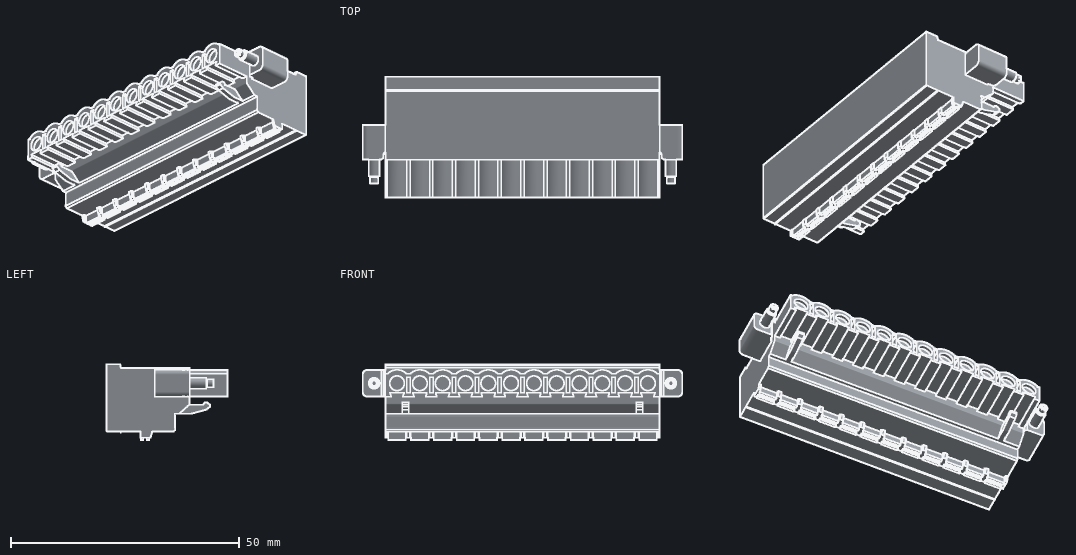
import cadquery as cq
import math


poles = 12
body_width = 60.15
end_margin = 0.1
pitch = (body_width - 2 * end_margin) / poles
pole_places = [(i - (poles - 1) / 2) * pitch for i in range(poles)]
joint_places = [(i - poles / 2) * pitch for i in range(poles + 1)]

ledge_top = 14.8
housing_top = 13.95
housing_depth = 18.2
ledge_depth = 2.95
lip_depth = 3.15
lip_height = 0.2
undercut_depth = 3.0
undercut_height = 0.3
step_depth = 3.2
lower_depth = 15.15
lower_setback = 0.15
slope_top = 5.95
slope_bottom = 3.85
slope_bottom_depth = 15.9
nose_radius = 0.35
lower_face_top = 3.2
base_chamfer = 0.4
sill_top = 0.9
back_chamfer = 0.15

total_depth = 26.6
socket_length = total_depth - housing_depth
socket_axis_height = 10.6
socket_radius = 2.95
valley_height = 12.6
socket_floor = 8.5
hole_diameter = 3.2
hole_depth = 1.0
slot_width = 0.8
slot_top = 11.9

tab_bottom = 7.65
tab_root_width = 1.9
tab_width = 2.45

total_width = 70.1
wing_top = socket_axis_height + socket_radius
wing_bottom = tab_bottom
wing_back = 10.6
wing_fillet = 1.05
relief_width = 0.4
relief_depth = 1.55
relief_taper = 0.4
relief_root_width = 0.2

screw_inset = 2.5
screw_diameter = 2.4
screw_length = 3.65
neck_diameter = 1.55
neck_length = 0.2
tip_diameter = 1.8
tip_length = 1.5
tip_chamfer = 0.15
hex_across = 1.1
recess_depth = 0.55

hook_inset = 4.4
hook_width = 1.4
hook_top = 5.9
hook_neck_depth = 21.2
hook_knob_back = 21.5
hook_knob_front = 22.1
hook_knob_height = 6.4
hook_tip_depth = 22.7
hook_tip_top = 5.9
hook_tip_bottom = 5.4
hook_chin_depth = 21.9
hook_chin_height = 4.8
hook_heel_depth = 18.5

foot_width = 3.9
foot_height = 1.9
foot_back = 7.6
foot_front = 9.4
groove_back = 8.1
groove_front = 8.8
fin_width = pitch - foot_width
fin_back = 7.4
fin_front = 10.1
fin_height = 1.4
fin_taper = 0.4
fin_chamfer = 0.2
ridge_depth = 3.15
ridge_size = 0.2


def side_polygon(points, width, center_x=0.0):
    """Prism along X from (depth, height) points, centred on center_x."""
    outline = cq.Workplane("YZ").polyline([(-depth, height) for depth, height in points]).close()
    return outline.extrude(width / 2, both=True).translate((center_x, 0, 0))


def cylinder_forward(x, depth, diameter, length):
    """Cylinder along -Y on the socket axis height, starting at the given depth."""
    plane = cq.Workplane("XZ", origin=(x, -depth, socket_axis_height))
    return plane.circle(diameter / 2).extrude(length)


def make_end_trim():
    """Block as wide as the housing, for trimming what would stick out of its ends."""
    return cq.Workplane("XY").box(body_width, 2 * total_depth, 2 * ledge_top)


def make_housing():
    points = [
        (back_chamfer, 0),
        (0, back_chamfer),
        (0, ledge_top),
        (ledge_depth, ledge_top),
        (lip_depth, ledge_top - lip_height),
        (undercut_depth, ledge_top - undercut_height),
        (step_depth, housing_top),
        (housing_depth, housing_top),
        (housing_depth, slope_top),
        (slope_bottom_depth, slope_bottom),
        (lower_depth - lower_setback, slope_bottom),
        (lower_depth - lower_setback / 2, lower_face_top),
        (lower_depth - lower_setback / 2, sill_top),
        (lower_depth, base_chamfer),
        (lower_depth - base_chamfer, 0),
    ]
    housing = side_polygon(points, body_width)
    nose = cq.selectors.NearestToPointSelector((0, -housing_depth, slope_top))
    return housing.edges(nose).fillet(nose_radius)


def make_sockets():
    valley_rise = valley_height - socket_axis_height
    crown_half_width = math.sqrt(socket_radius**2 - valley_rise**2)
    outline = (
        cq.Workplane("XZ", origin=(0, -housing_depth, 0))
        .moveTo(-body_width / 2, socket_floor)
        .lineTo(-body_width / 2, valley_height)
    )
    for x in pole_places:
        outline = outline.lineTo(x - crown_half_width, valley_height).threePointArc(
            (x, socket_axis_height + socket_radius), (x + crown_half_width, valley_height)
        )
    outline = outline.lineTo(body_width / 2, valley_height).lineTo(body_width / 2, socket_floor).close()
    sockets = outline.extrude(socket_length)
    for x in pole_places:
        sockets = sockets.cut(cylinder_forward(x, total_depth - hole_depth, hole_diameter, hole_depth))
    for x in joint_places[1:-1]:
        slot = cq.Workplane("XZ", origin=(x, -housing_depth, (slot_top + socket_floor) / 2))
        sockets = sockets.cut(slot.rect(slot_width, slot_top - socket_floor).extrude(socket_length))
    return sockets


def make_tabs():
    tabs = cq.Workplane("XY")
    for x in joint_places:
        outline = cq.Workplane("XZ", origin=(x, -housing_depth, 0)).polyline([
            (-tab_root_width / 2, socket_floor),
            (tab_root_width / 2, socket_floor),
            (tab_width / 2, tab_bottom),
            (-tab_width / 2, tab_bottom),
        ]).close()
        tabs = tabs.union(outline.extrude(socket_length))
    return tabs.intersect(make_end_trim())


def make_left_wing():
    outer_x = -total_width / 2
    inner_x = -body_width / 2
    relief_x = inner_x - relief_width
    wing = cq.Workplane("XY", origin=(0, 0, wing_bottom)).polyline([
        (outer_x, -wing_back),
        (inner_x, -wing_back),
        (inner_x, -housing_depth + relief_depth),
        (inner_x - relief_root_width, -housing_depth + relief_depth),
        (relief_x, -housing_depth + relief_depth - relief_taper),
        (relief_x, -housing_depth + relief_taper),
        (relief_x - relief_taper, -housing_depth),
        (outer_x, -housing_depth),
    ]).close().extrude(wing_top - wing_bottom)
    return wing.edges("|Y and <X").fillet(wing_fillet)


def make_left_screw():
    x = -total_width / 2 + screw_inset
    shank = cylinder_forward(x, housing_depth, screw_diameter, screw_length)
    neck_start = housing_depth + screw_length
    neck = cylinder_forward(x, neck_start, neck_diameter, neck_length)
    tip_start = neck_start + neck_length
    tip = cylinder_forward(x, tip_start, tip_diameter, tip_length).faces("<Y").chamfer(tip_chamfer)
    recess_start = tip_start + tip_length - recess_depth
    recess = cq.Workplane("XZ", origin=(x, -recess_start, socket_axis_height)).polygon(
        6, hex_across / math.cos(math.pi / 6)
    ).extrude(recess_depth)
    return shank.union(neck).union(tip).cut(recess)


def make_left_hook():
    return side_polygon([
        (slope_bottom_depth, slope_bottom),
        (lower_depth, slope_bottom),
        (lower_depth, hook_top),
        (hook_neck_depth, hook_top),
        (hook_knob_back, hook_knob_height),
        (hook_knob_front, hook_knob_height),
        (hook_tip_depth, hook_tip_top),
        (hook_tip_depth, hook_tip_bottom),
        (hook_chin_depth, hook_chin_height),
        (hook_heel_depth, slope_bottom),
    ], hook_width, -body_width / 2 + hook_inset)


def make_feet():
    feet = cq.Workplane("XY")
    for x in pole_places:
        feet = feet.union(side_polygon([
            (foot_back, 0),
            (foot_front, 0),
            (foot_front, -foot_height),
            (groove_front, -foot_height),
            (groove_front, -fin_height),
            (groove_back, -fin_height),
            (groove_back, -foot_height),
            (foot_back, -foot_height),
        ], foot_width, x))
    return feet


def make_fins():
    fins = cq.Workplane("XY")
    for x in joint_places:
        fin = side_polygon([
            (fin_back, 0),
            (fin_front, 0),
            (fin_front - fin_taper, -fin_height),
            (fin_back, -fin_height),
        ], fin_width, x)
        front_edges = fin.faces("<Y").edges("not <Z").edges("not >Z")
        fins = fins.union(front_edges.chamfer(fin_chamfer))
    return fins.intersect(make_end_trim())


def make_ridge():
    return side_polygon([
        (ridge_depth - ridge_size / 2, 0),
        (ridge_depth + ridge_size / 2, 0),
        (ridge_depth, -ridge_size),
    ], body_width)


left_end = make_left_wing().union(make_left_screw()).union(make_left_hook())
result = (
    make_housing()
    .union(make_sockets())
    .union(make_tabs())
    .union(make_feet())
    .union(make_fins())
    .union(make_ridge())
    .union(left_end)
    .union(left_end.mirror("YZ"))
)